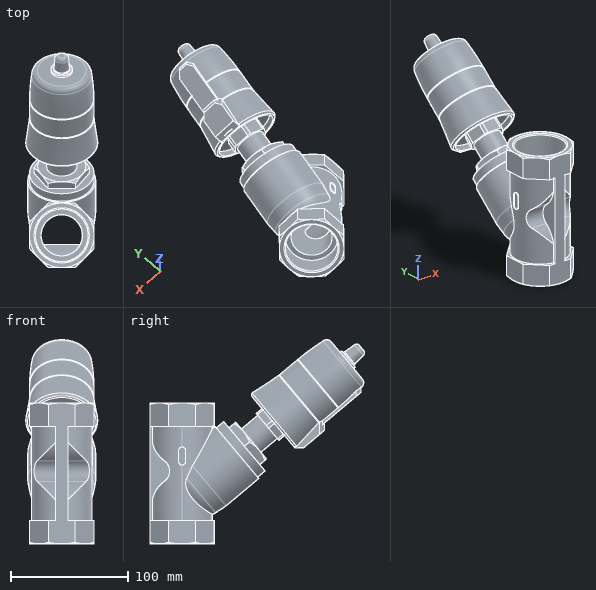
import cadquery as cq
import math

pipe_length = 120.0
pipe_diameter = 51.7
bore_diameter = 35.0
octagon_sides = 8
octagon_across_flats = 55.0
octagon_height = 20.0
octagon_chamfer_diameter = 55.0
octagon_chamfer_angle = 30.0
socket_diameter = 44.84
socket_depth = 20.5
socket_entry_diameter = 47.0

notch_center_z = 2.0
notch_shoulder_spacing = 59.4
notch_floor_y = -10.7
notch_wall = 3.1
web_width = 10.6

side_flat_length = 15.4
side_flat_width = 5.8
side_flat_center_z = 14.8
side_flat_x = 26.4

tilt_angle = 40.0
tilt_origin_z = -21.4

branch_diameter = 58.0
branch_tip_station = 4.0
branch_tip_radius = 22.5
branch_cone_station = 14.1
branch_cone_radius = 27.7
branch_cylinder_station = 24.7
branch_end_station = 61.0
collar_diameter = 55.0
collar_end_station = 69.3
bonnet_across_flats = 41.0
bonnet_end_station = 76.8
bonnet_chamfer_angle = 30.0
stem_diameter = 26.0
lock_nut_across_flats = 30.0
lock_nut_corner_diameter = 33.0
lock_nut_station = 95.0

housing_bottom_station = 101.4
housing_bottom_radius = 29.2
housing_recess_radius = 27.3
housing_recess_depth = 5.0
housing_rim_station = 103.3
housing_rim_radius = 30.75
housing_middle_radius = 27.5
lower_groove_station = 131.0
upper_groove_station = 151.7
groove_width = 0.6
groove_depth = 0.3
housing_shoulder_radius = 25.7
housing_shoulder_station = 178.2
housing_top_radius = 20.7
housing_top_station = 183.2

indicator_collar_diameter = 18.2
indicator_collar_height = 1.8
indicator_neck_radius = 7.1
indicator_neck_height = 1.3
indicator_root_radius = 6.8
indicator_tip_diameter = 6.0
indicator_tip_fillet = 3.0
indicator_end_station = 199.6

pad_radius = 28.7
pad_end_y = 152.6
pad_width = 17.0
port_radius = 33.5
port_end_y = 121.3
port_bottom_z = 21.7
port_width = 22.0
pad_inner_radius = 21.0
pad_corner_chamfer = 4.3

recess_floor_station = housing_bottom_station + housing_recess_depth

tilt = math.radians(tilt_angle)
tilt_direction = cq.Vector(0, math.cos(tilt), math.sin(tilt))
tilt_radial = cq.Vector(0, -math.sin(tilt), math.cos(tilt))
tilt_origin = cq.Vector(0, 0, tilt_origin_z)


def profile_plane():
    """Plane through the tilted axis: local x is the radius, local y the station."""
    return cq.Workplane(cq.Plane(tilt_origin, tilt_radial, cq.Vector(-1, 0, 0)))


def cross_plane(station):
    """Plane square to the tilted axis at a station, with local x along X."""
    return cq.Workplane(cq.Plane(tilt_origin + tilt_direction * station, cq.Vector(1, 0, 0), tilt_direction))


def turn(profile):
    """Close a half profile and revolve it about the tilted axis."""
    return profile.close().revolve(360, (0, 0), (0, 1))


def tilted_cylinder(diameter, start, end):
    return cross_plane(start).circle(diameter / 2).extrude(end - start)


def hexagon(across_flats, start, end):
    corner_diameter = across_flats / math.cos(math.pi / 6)
    return cross_plane(start).polygon(6, corner_diameter).extrude(end - start)


def make_octagon_end():
    """Upper octagonal end with its corners chamfered at the outer face."""
    corner_diameter = octagon_across_flats / math.cos(math.pi / octagon_sides)
    bottom = pipe_length / 2 - octagon_height
    octagon = (
        cq.Workplane("XY", origin=(0, 0, bottom))
        .transformed(rotate=(0, 0, 180 / octagon_sides))
        .polygon(octagon_sides, corner_diameter)
        .extrude(octagon_height)
    )
    top_radius = octagon_chamfer_diameter / 2
    cone_radius = top_radius + octagon_height / math.tan(math.radians(octagon_chamfer_angle))
    cone = cq.Workplane(cq.Solid.makeCone(cone_radius, top_radius, octagon_height, cq.Vector(0, 0, bottom)))
    return octagon.intersect(cone)


def waist_arc():
    """Radius and -Y centre distance of the notch floor arc, tangent to both shoulder arcs."""
    half_spacing = notch_shoulder_spacing / 2
    floor = -notch_floor_y
    shoulder = pipe_diameter / 2
    radius = (half_spacing**2 + floor**2 - shoulder**2) / (2 * (shoulder - floor))
    return radius, floor + radius


def make_notch():
    """Waist cut along X, bounded by two shoulder arcs and a tangent floor arc."""
    half_spacing = notch_shoulder_spacing / 2
    shoulder = pipe_diameter / 2
    center_distance = waist_arc()[1]
    tangent_angle = math.atan2(half_spacing, center_distance)

    def shoulder_point(angle, side):
        y = -shoulder * math.cos(angle)
        z = side * (half_spacing - shoulder * math.sin(angle))
        return (y, z)

    return (
        cq.Workplane("YZ", origin=(-pipe_diameter / 2, 0, notch_center_z))
        .moveTo(*shoulder_point(0, 1))
        .threePointArc(shoulder_point(tangent_angle / 2, 1), shoulder_point(tangent_angle, 1))
        .threePointArc((notch_floor_y, 0), shoulder_point(tangent_angle, -1))
        .threePointArc(shoulder_point(tangent_angle / 2, -1), shoulder_point(0, -1))
        .close()
        .extrude(pipe_diameter)
    )


def make_notch_wall():
    """Round wall along X that keeps the notch floor closed toward the bore."""
    radius, center_distance = waist_arc()
    return (
        cq.Workplane("YZ", origin=(0, -center_distance, notch_center_z))
        .circle(radius + notch_wall)
        .extrude(pipe_diameter / 2, both=True)
    )


def make_web():
    depth = octagon_across_flats / 2 + notch_floor_y
    height = pipe_length - 2 * octagon_height
    return cq.Workplane("XY").box(web_width, depth, height).translate((0, notch_floor_y - depth / 2, 0))


def make_side_flats():
    return (
        cq.Workplane("YZ", origin=(0, 0, side_flat_center_z))
        .slot2D(side_flat_length, side_flat_width, 90)
        .extrude(side_flat_x, both=True)
    )


def make_bore():
    """Through bore, narrowed by the notch wall, with a bevelled socket at each end."""
    bore = cq.Workplane("XY").circle(bore_diameter / 2).extrude(pipe_length / 2, both=True)
    bore = bore.cut(make_notch_wall())
    bevel = (socket_entry_diameter - socket_diameter) / 2
    socket = (
        cq.Workplane("XY", origin=(0, 0, pipe_length / 2 - socket_depth))
        .circle(socket_diameter / 2)
        .extrude(socket_depth)
    )
    entry = cq.Workplane(
        cq.Solid.makeCone(
            socket_diameter / 2, socket_entry_diameter / 2, bevel, cq.Vector(0, 0, pipe_length / 2 - bevel)
        )
    )
    socket = socket.union(entry)
    return bore.union(socket).union(socket.mirror("XY"))


def make_branch():
    radius = branch_diameter / 2
    return turn(
        profile_plane()
        .moveTo(0, branch_tip_station)
        .lineTo(0, branch_end_station)
        .lineTo(radius, branch_end_station)
        .lineTo(radius, branch_cylinder_station)
        .lineTo(branch_cone_radius, branch_cone_station)
        .tangentArcPoint((branch_tip_radius, branch_tip_station), relative=False)
    )


def make_bonnet():
    """Collar, chamfered hexagon and stem tube leading to the lock nut."""
    nut = hexagon(bonnet_across_flats, collar_end_station, bonnet_end_station)
    face_radius = bonnet_across_flats / 2
    height = bonnet_end_station - collar_end_station
    flare = height / math.tan(math.radians(bonnet_chamfer_angle))
    chamfer_cone = turn(
        profile_plane()
        .moveTo(0, collar_end_station)
        .lineTo(face_radius + flare, collar_end_station)
        .lineTo(face_radius, bonnet_end_station)
        .lineTo(0, bonnet_end_station)
    )
    collar = tilted_cylinder(collar_diameter, branch_end_station, collar_end_station)
    stem = tilted_cylinder(stem_diameter, bonnet_end_station, recess_floor_station)
    lock_nut = hexagon(lock_nut_across_flats, lock_nut_station, recess_floor_station).intersect(
        tilted_cylinder(lock_nut_corner_diameter, lock_nut_station, recess_floor_station)
    )
    return collar.union(nut.intersect(chamfer_cone)).union(stem).union(lock_nut)


def make_housing():
    fillet_reach = (housing_shoulder_radius - housing_top_radius) * math.sqrt(0.5)
    housing = turn(
        profile_plane()
        .moveTo(0, housing_bottom_station)
        .lineTo(housing_bottom_radius, housing_bottom_station)
        .lineTo(housing_rim_radius, housing_rim_station)
        .lineTo(housing_middle_radius, lower_groove_station)
        .lineTo(housing_middle_radius, upper_groove_station)
        .tangentArcPoint((housing_shoulder_radius, housing_shoulder_station), relative=False)
        .threePointArc(
            (housing_top_radius + fillet_reach, housing_shoulder_station + fillet_reach),
            (housing_top_radius, housing_top_station),
        )
        .lineTo(0, housing_top_station)
    )
    for station in (lower_groove_station, upper_groove_station):
        groove = (
            cross_plane(station - groove_width / 2)
            .circle(housing_rim_radius)
            .circle(housing_middle_radius - groove_depth)
            .extrude(groove_width)
        )
        housing = housing.cut(groove)
    return housing


def make_indicator():
    collar_radius = indicator_collar_diameter / 2
    collar_top = housing_top_station + indicator_collar_height
    neck_top = collar_top + indicator_neck_height
    tip_radius = indicator_tip_diameter / 2
    fillet_mid = indicator_tip_fillet * math.sqrt(0.5)
    fillet_station = indicator_end_station - indicator_tip_fillet
    return turn(
        profile_plane()
        .moveTo(0, housing_top_station)
        .lineTo(collar_radius, housing_top_station)
        .lineTo(collar_radius, collar_top)
        .lineTo(indicator_neck_radius, collar_top)
        .lineTo(indicator_neck_radius, neck_top)
        .lineTo(indicator_root_radius, neck_top)
        .lineTo(tip_radius + indicator_tip_fillet, fillet_station)
        .threePointArc(
            (tip_radius + fillet_mid, fillet_station + fillet_mid),
            (tip_radius, indicator_end_station),
        )
        .lineTo(0, indicator_end_station)
    )


def make_pad(radius, end_y, width):
    """Flat pad under the housing with an upright, corner-chamfered end at end_y."""

    def end_station(distance):
        return (end_y - distance * math.sin(tilt)) / math.cos(tilt)

    return (
        profile_plane()
        .moveTo(-radius, housing_bottom_station)
        .lineTo(-radius, end_station(radius))
        .lineTo(-pad_inner_radius, end_station(pad_inner_radius))
        .lineTo(-pad_inner_radius, housing_bottom_station)
        .close()
        .extrude(width / 2, both=True)
        .edges("|Z")
        .chamfer(pad_corner_chamfer)
    )


def make_ports():
    """Pad and deeper port block, the block trimmed level at its lower end."""
    below = (
        cq.Workplane("XY", origin=(0, port_end_y, port_bottom_z))
        .rect(port_width, 2 * port_end_y)
        .extrude(-port_bottom_z)
    )
    ports = make_pad(pad_radius, pad_end_y, pad_width).union(make_pad(port_radius, port_end_y, port_width))
    return ports.cut(below)


octagon_end = make_octagon_end()
body = cq.Workplane("XY").circle(pipe_diameter / 2).extrude(pipe_length / 2, both=True)
body = body.union(make_branch()).cut(make_notch())
body = body.union(make_side_flats()).union(make_web()).union(octagon_end).union(octagon_end.mirror("XY"))
body = body.cut(make_bore())

recess = tilted_cylinder(2 * housing_recess_radius, housing_bottom_station, recess_floor_station)
actuator = make_housing().union(make_ports()).cut(recess)
actuator = actuator.union(make_indicator()).union(make_bonnet())

result = body.union(actuator)